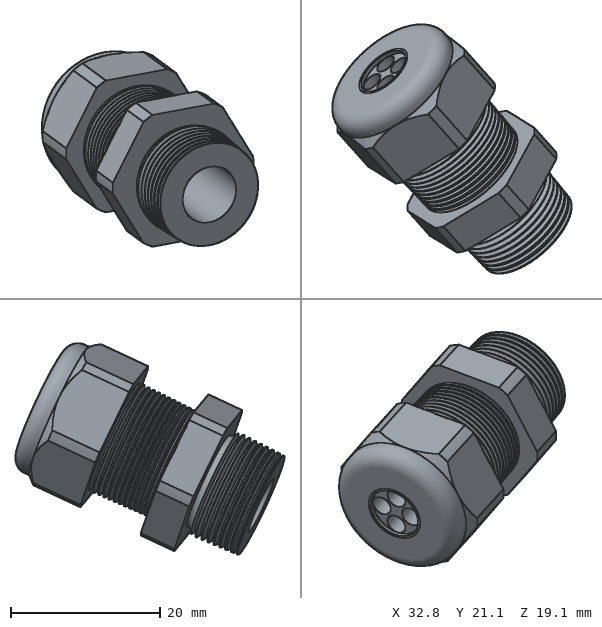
import cadquery as cq
import math


TOTAL_LENGTH = 32.77
DOME_RADIUS = 2.05
CAP_HEX_START = 2.8
CAP_CHAMFER_LENGTH = 1.15
CAP_END = 10.95
FLANGE_START = 19.9
FLANGE_END = 24.9

ACROSS_FLATS = 19.05
ACROSS_CORNERS = 21.15
RIM_RADIUS = ACROSS_FLATS / 2
CORNER_RADIUS = ACROSS_CORNERS / 2

THREAD_HALF_ANGLE = 30.0
GROOVE_HEIGHT = 0.98

SHANK_CREST_START = 8.03
SHANK_CREST_END = 7.77
SHANK_ROOT = 7.4
SHANK_FIRST_ROOT = 11.25
SHANK_LAST_ROOT = 19.63
SHANK_GROOVES = 12

ENTRY_CREST_START = 7.65
ENTRY_CREST_END = 7.35
ENTRY_ROOT = 6.88
ENTRY_FIRST_ROOT = 26.2
ENTRY_LAST_ROOT = 32.38
ENTRY_GROOVES = 8
NECK_RADIUS = 6.78
NECK_LENGTH = 0.23
RUNOUT_HEIGHT = ENTRY_CREST_START - NECK_RADIUS
RUNOUT_LENGTH = 0.75

INSERT_RADIUS = 4.0
INSERT_LENGTH = CAP_END
RECESS_RADIUS = 3.67
RECESS_DEPTH = 0.52
CABLE_HOLES = 4
CABLE_HOLE_DIAMETER = 2.8
CABLE_HOLE_OFFSET = 2.25

AXIS_START = (0, 0, 0)
AXIS_END = (1, 0, 0)


def turned(profile):
    """Revolve a closed XZ profile about the X axis."""
    return profile.close().revolve(360, AXIS_START, AXIS_END)


def rod(start, end, radius):
    """Cylinder along X."""
    return cq.Workplane("YZ", origin=(start, 0, 0)).circle(radius).extrude(end - start)


def hexagon(start, end):
    """Hexagonal prism along X with flats facing +Z and -Z and corners rounded to a cylinder."""
    point_diameter = ACROSS_FLATS / math.cos(math.pi / 6)
    prism = cq.Workplane("YZ", origin=(start, 0, 0)).polygon(6, point_diameter).extrude(end - start)
    return prism.intersect(rod(start, end, CORNER_RADIUS))


def cap():
    """Domed rim followed by a hexagon whose front corners are trimmed by a cone."""
    arc_middle = DOME_RADIUS * math.sqrt(0.5)
    rim = turned(
        cq.Workplane("XZ")
        .lineTo(0, RIM_RADIUS - DOME_RADIUS)
        .threePointArc(
            (DOME_RADIUS - arc_middle, RIM_RADIUS - DOME_RADIUS + arc_middle),
            (DOME_RADIUS, RIM_RADIUS),
        )
        .lineTo(CAP_HEX_START, RIM_RADIUS)
        .lineTo(CAP_HEX_START, 0)
    )
    corner_trim = turned(
        cq.Workplane("XZ")
        .moveTo(CAP_HEX_START, 0)
        .lineTo(CAP_HEX_START, RIM_RADIUS)
        .lineTo(CAP_HEX_START + CAP_CHAMFER_LENGTH, CORNER_RADIUS)
        .lineTo(CAP_END, CORNER_RADIUS)
        .lineTo(CAP_END, 0)
    )
    return rim.union(hexagon(CAP_HEX_START, CAP_END).intersect(corner_trim))


def cut_thread(blank, first_root, last_root, count, root_radius):
    """Cut evenly spaced V-shaped rings into a turned blank."""
    pitch = (last_root - first_root) / (count - 1)
    groove_half_width = GROOVE_HEIGHT * math.tan(math.radians(THREAD_HALF_ANGLE))
    for index in range(count):
        root = first_root + index * pitch
        groove = turned(
            cq.Workplane("XZ")
            .moveTo(root, root_radius)
            .lineTo(root - groove_half_width, root_radius + GROOVE_HEIGHT)
            .lineTo(root + groove_half_width, root_radius + GROOVE_HEIGHT)
        )
        blank = blank.cut(groove)
    return blank


def shank():
    """Threaded length between the cap and the flange."""
    blank = turned(
        cq.Workplane("XZ")
        .moveTo(CAP_END, 0)
        .lineTo(CAP_END, SHANK_CREST_START)
        .lineTo(FLANGE_START, SHANK_CREST_END)
        .lineTo(FLANGE_START, 0)
    )
    return cut_thread(blank, SHANK_FIRST_ROOT, SHANK_LAST_ROOT, SHANK_GROOVES, SHANK_ROOT)


def entry():
    """Plain neck, run-out and thread behind the flange."""
    neck_end = FLANGE_END + NECK_LENGTH
    blank = turned(
        cq.Workplane("XZ")
        .moveTo(FLANGE_END, 0)
        .lineTo(FLANGE_END, NECK_RADIUS)
        .lineTo(neck_end, NECK_RADIUS)
        .threePointArc(
            (
                neck_end + RUNOUT_LENGTH * math.sqrt(0.5),
                NECK_RADIUS + RUNOUT_HEIGHT * (1 - math.sqrt(0.5)),
            ),
            (neck_end + RUNOUT_LENGTH, NECK_RADIUS + RUNOUT_HEIGHT),
        )
        .lineTo(TOTAL_LENGTH, ENTRY_CREST_END)
        .lineTo(TOTAL_LENGTH, 0)
    )
    return cut_thread(blank, ENTRY_FIRST_ROOT, ENTRY_LAST_ROOT, ENTRY_GROOVES, ENTRY_ROOT)


def make_gland():
    """Housing: cap, shank, flange and entry thread in one piece, bored for the insert."""
    flange = hexagon(FLANGE_START, FLANGE_END)
    bore = rod(0, TOTAL_LENGTH, INSERT_RADIUS)
    return cap().union(shank()).union(flange).union(entry()).cut(bore)


def make_insert():
    """Sealing plug with a shallow front recess and a ring of through holes for cables."""
    recess = rod(0, RECESS_DEPTH, RECESS_RADIUS)
    holes = (
        cq.Workplane("YZ")
        .polarArray(CABLE_HOLE_OFFSET, 0, 360, CABLE_HOLES)
        .circle(CABLE_HOLE_DIAMETER / 2)
        .extrude(INSERT_LENGTH)
    )
    return rod(0, INSERT_LENGTH, INSERT_RADIUS).cut(recess).cut(holes)


gland = make_gland().solids()
insert = make_insert().solids()

result = cq.Compound.makeCompound([gland.val(), insert.val()])